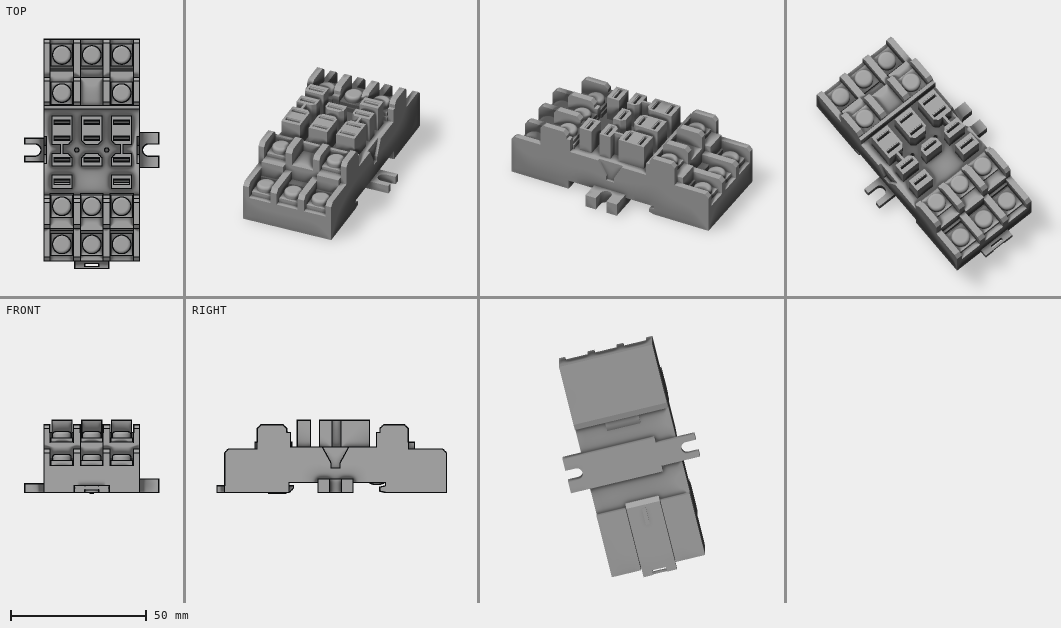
import cadquery as cq


BODY_WIDTH = 35.35
BODY_LENGTH = 81.8
OVERALL_LENGTH = 84.6
OVERALL_WIDTH = 49.5
HALF_WIDTH = BODY_WIDTH / 2
REAR = BODY_LENGTH / 2
FRONT = -BODY_LENGTH / 2

DECK_Z = 16.8
BLOCK_TOP_Z = 26.65
LOW_WALL_Z = 16.1
HIGH_WALL_Z = 25.0
WALL_CHAMFER = 1.4
LOW_FLOOR_Z = 9.9
HIGH_FLOOR_Z = 18.6
STRIP_Z = 12.4
SHELF_Z = 22.2
RAIL_ROOF_Z = 3.6

POLE_PITCH = 11.0
POLES = (-POLE_PITCH, 0, POLE_PITCH)
SIDE_POLES = (-POLE_PITCH, POLE_PITCH)
CENTRE_CHANNEL_HALF = 4.2
INNER_WALL_OUTSIDE = 6.8
OUTER_WALL_INSIDE = 15.4

REAR_HIGH_WALL = 26.8
REAR_WALL_END = 16.3
REAR_DECK_EDGE = 15.05
REAR_FLOOR_EDGE = 29.1
REAR_STRIP_EDGE = 29.85
FRONT_DECK_EDGE = -16.1
FRONT_SHELF_EDGE = -16.6
FRONT_WALL_END = -17.9
FRONT_HIGH_WALL = -28.8
FRONT_STRIP_EDGE = -29.7

RAIL_REAR = 18.35
RAIL_FRONT = -17.1
HOOK_TIP = 16.2
HOOK_HIGH_Z = 2.0
HOOK_LOW_Z = 0.5
HOOK_ROOT_Z = 2.5

PAD_WIDTH = 7.95
PAD_LENGTH = 8.2
LOW_PAD_Z = 11.75
HIGH_PAD_Z = 20.1
SCREW_DIAMETER = 6.85
SCREW_HEIGHT = 2.3
SCREW_ROUNDING = 1.1
REAR_LOW_ROW = 35.0
REAR_HIGH_ROW = 21.0
FRONT_HIGH_ROW = -20.7
FRONT_LOW_ROW = -34.8

BLOCK_WIDTH = 7.45
BLOCK_CORNER = 1.4
REAR_BLOCK = (2.0, 12.5)
MIDDLE_BLOCK = (-5.9, -1.35)
FRONT_BLOCK = (-14.1, -9.1)
NECK_WIDTH = 0.9
NECK_X = 11.1
SLOT_LENGTH = 5.8
SLOT_MOUTH = 1.7
SLOT_MOUTH_DEPTH = 0.25
SLOT_THROAT = 1.0
SLOT_DEPTH = 6.8
REAR_SLOTS = (10.2, 4.3)
MIDDLE_SLOT = -3.55
FRONT_SLOT = -11.5
FRONT_SLOT_MOUTH = 1.95
FRONT_SLOT_OFFSET = 0.13

DECK_HOLE_DIAMETER = 1.6
DECK_HOLE_DEPTH = 4.2
FUNNEL_DEPTH = 1.1
FUNNEL_TOP_HALF = 4.9
FUNNEL_STEM_HALF = 1.6
FUNNEL_NECK_Z = 10.8
FUNNEL_BOTTOM_Z = 9.0

EAR_TIP = OVERALL_WIDTH / 2
WIDE_EAR_WIDTH = 13.0
WIDE_EAR_HEIGHT = 5.1
WIDE_EAR_INNER_END = -10.15
NARROW_EAR_WIDTH = 8.7
NARROW_EAR_HEIGHT = 3.3
EAR_SLOT_WIDTH = 4.4
EAR_SLOT_DEPTH = 6.0

SLIDER_WIDTH = 12.7
SLIDER_HEIGHT = 2.5
SLIDER_FRONT = REAR - OVERALL_LENGTH
SLIDER_LATCH_TIP = -15.5
SLIDER_LATCH_Z = 1.6
POCKET_WIDTH = 13.2
PULL_SLOT_LENGTH = 5.0
PULL_SLOT_WIDTH = 1.0
PULL_SLOT_Y = -42.4
PULL_NOTCH_WIDTH = 5.3
PULL_NOTCH_HEIGHT = 1.0
FOOT_WIDTH = 1.4
FOOT_HEIGHT = 0.3
FOOT_SPAN = (-24.6, -18.3)
SPRING_SPAN = (12.35, 18.0)
SPRING_DROP = 0.8


def box(x_span, y_span, z_span):
    """Box given by its limits along each axis."""
    lengths = [span[1] - span[0] for span in (x_span, y_span, z_span)]
    return cq.Workplane("XY").box(*lengths, centered=False).translate((x_span[0], y_span[0], z_span[0]))


def centred(middle, length):
    """Limits of a length centred on a position."""
    return (middle - length / 2, middle + length / 2)


def slab(outline, x_span):
    """Extrude a Y-Z outline between two X positions."""
    start, end = x_span
    return cq.Workplane("YZ").workplane(offset=start).polyline(outline).close().extrude(end - start)


def underside():
    """Bottom outline from front to rear, with the rail recess and its fixed hook."""
    return [
        (FRONT, 0), (RAIL_FRONT, 0), (RAIL_FRONT, RAIL_ROOF_Z), (RAIL_REAR, RAIL_ROOF_Z),
        (RAIL_REAR, HOOK_ROOT_Z), (HOOK_TIP, HOOK_HIGH_Z), (HOOK_TIP, HOOK_LOW_Z), (RAIL_REAR, 0), (REAR, 0),
    ]


def wall_outline():
    """Partition wall with a raised, chamfered rib beside each inner screw row."""
    low_chamfer_z = LOW_WALL_Z - WALL_CHAMFER
    high_chamfer_z = HIGH_WALL_Z - WALL_CHAMFER
    return underside() + [
        (REAR, low_chamfer_z), (REAR - WALL_CHAMFER, LOW_WALL_Z), (REAR_HIGH_WALL, LOW_WALL_Z),
        (REAR_HIGH_WALL, high_chamfer_z), (REAR_HIGH_WALL - WALL_CHAMFER, HIGH_WALL_Z),
        (REAR_WALL_END + WALL_CHAMFER, HIGH_WALL_Z), (REAR_WALL_END, high_chamfer_z),
        (REAR_WALL_END, SHELF_Z), (REAR_DECK_EDGE, SHELF_Z), (REAR_DECK_EDGE, DECK_Z),
        (FRONT_SHELF_EDGE, DECK_Z), (FRONT_SHELF_EDGE, SHELF_Z), (FRONT_WALL_END, SHELF_Z),
        (FRONT_WALL_END, high_chamfer_z), (FRONT_WALL_END - WALL_CHAMFER, HIGH_WALL_Z),
        (FRONT_HIGH_WALL + WALL_CHAMFER, HIGH_WALL_Z), (FRONT_HIGH_WALL, high_chamfer_z),
        (FRONT_HIGH_WALL, LOW_WALL_Z), (FRONT + WALL_CHAMFER, LOW_WALL_Z), (FRONT, low_chamfer_z),
    ]


def side_channel_outline():
    """Stepped floor of an outer pole, with a low strip at the foot of each step."""
    return underside() + [
        (REAR, LOW_FLOOR_Z), (REAR_STRIP_EDGE, LOW_FLOOR_Z), (REAR_STRIP_EDGE, STRIP_Z),
        (REAR_FLOOR_EDGE, STRIP_Z), (REAR_FLOOR_EDGE, HIGH_FLOOR_Z), (REAR_WALL_END, HIGH_FLOOR_Z),
        (REAR_WALL_END, SHELF_Z), (REAR_DECK_EDGE, SHELF_Z), (REAR_DECK_EDGE, DECK_Z),
        (FRONT_DECK_EDGE, DECK_Z), (FRONT_DECK_EDGE, HIGH_FLOOR_Z), (FRONT_HIGH_WALL, HIGH_FLOOR_Z),
        (FRONT_HIGH_WALL, STRIP_Z), (FRONT_STRIP_EDGE, STRIP_Z), (FRONT_STRIP_EDGE, LOW_FLOOR_Z),
        (FRONT, LOW_FLOOR_Z),
    ]


def centre_channel_outline():
    """Floor of the centre pole, whose rear step is a plain platform without a screw."""
    return underside() + [
        (REAR, LOW_FLOOR_Z), (REAR_STRIP_EDGE, LOW_FLOOR_Z), (REAR_STRIP_EDGE, STRIP_Z),
        (REAR_HIGH_WALL, STRIP_Z), (REAR_HIGH_WALL, HIGH_FLOOR_Z), (REAR_WALL_END, HIGH_FLOOR_Z),
        (REAR_WALL_END, SHELF_Z), (REAR_DECK_EDGE, SHELF_Z), (REAR_DECK_EDGE, DECK_Z),
        (FRONT_DECK_EDGE, DECK_Z), (FRONT_DECK_EDGE, HIGH_FLOOR_Z), (FRONT_STRIP_EDGE, HIGH_FLOOR_Z),
        (FRONT_STRIP_EDGE, LOW_FLOOR_Z), (FRONT, LOW_FLOOR_Z),
    ]


def make_body():
    body = slab(centre_channel_outline(), (-CENTRE_CHANNEL_HALF, CENTRE_CHANNEL_HALF))
    one_side = [
        (wall_outline(), CENTRE_CHANNEL_HALF, INNER_WALL_OUTSIDE),
        (side_channel_outline(), INNER_WALL_OUTSIDE, OUTER_WALL_INSIDE),
        (wall_outline(), OUTER_WALL_INSIDE, HALF_WIDTH),
    ]
    for outline, inside, outside in one_side:
        body = body.union(slab(outline, (inside, outside)))
        body = body.union(slab(outline, (-outside, -inside)))
    return body


def terminal(x, y, floor_z, pad_z):
    """Square clamp pad carrying a round-edged screw head."""
    pad = box(centred(x, PAD_WIDTH), centred(y, PAD_LENGTH), (floor_z, pad_z))
    screw = cq.Workplane("XY").circle(SCREW_DIAMETER / 2).extrude(SCREW_HEIGHT)
    screw = screw.faces(">Z").edges().fillet(SCREW_ROUNDING)
    return pad.union(screw.translate((x, y, pad_z)))


def add_terminals(body):
    rows = [
        (REAR_LOW_ROW, POLES, LOW_FLOOR_Z, LOW_PAD_Z),
        (REAR_HIGH_ROW, SIDE_POLES, HIGH_FLOOR_Z, HIGH_PAD_Z),
        (FRONT_HIGH_ROW, POLES, HIGH_FLOOR_Z, HIGH_PAD_Z),
        (FRONT_LOW_ROW, POLES, LOW_FLOOR_Z, LOW_PAD_Z),
    ]
    for y, poles, floor_z, pad_z in rows:
        for x in poles:
            body = body.union(terminal(x, y, floor_z, pad_z))
    return body


def contact_block(x, y_span, bevelled_end=None):
    """Contact block; the corners of the bevelled end that face another pole are cut off."""
    block = box(centred(x, BLOCK_WIDTH), y_span, (DECK_Z, BLOCK_TOP_Z))
    if bevelled_end is None:
        return block
    corners = block.faces(bevelled_end).edges("|Z")
    if x < 0:
        corners = corners.edges(">X")
    elif x > 0:
        corners = corners.edges("<X")
    return corners.chamfer(BLOCK_CORNER)


def add_contact_blocks(body):
    for x in POLES:
        body = body.union(contact_block(x, REAR_BLOCK, "<Y"))
        body = body.union(contact_block(x, MIDDLE_BLOCK, ">Y"))
    neck_y = (MIDDLE_BLOCK[1], REAR_BLOCK[0])
    for x in SIDE_POLES:
        body = body.union(contact_block(x, FRONT_BLOCK))
        neck_x = NECK_X if x > 0 else -NECK_X
        body = body.union(box(centred(neck_x, NECK_WIDTH), neck_y, (DECK_Z, BLOCK_TOP_Z)))
    return body


def blade_slot(x, y, mouth=SLOT_MOUTH, mouth_offset=0):
    """Blade slot with a wider, shallow mouth."""
    x_span = centred(x, SLOT_LENGTH)
    throat = box(x_span, centred(y, SLOT_THROAT), (BLOCK_TOP_Z - SLOT_DEPTH, BLOCK_TOP_Z))
    mouth_y = centred(y - mouth_offset, mouth)
    return throat.union(box(x_span, mouth_y, (BLOCK_TOP_Z - SLOT_MOUTH_DEPTH, BLOCK_TOP_Z)))


def cut_blade_slots(body):
    for x in POLES:
        for y in REAR_SLOTS + (MIDDLE_SLOT,):
            body = body.cut(blade_slot(x, y))
    for x in SIDE_POLES:
        body = body.cut(blade_slot(x, FRONT_SLOT, FRONT_SLOT_MOUTH, FRONT_SLOT_OFFSET))
    return body


def cut_deck_holes(body):
    """Two blind holes in the deck, midway between the poles."""
    holes = cq.Workplane("XY").workplane(offset=DECK_Z - DECK_HOLE_DEPTH)
    holes = holes.pushPoints([(-POLE_PITCH / 2, 0), (POLE_PITCH / 2, 0)])
    return body.cut(holes.circle(DECK_HOLE_DIAMETER / 2).extrude(DECK_HOLE_DEPTH))


def cut_side_funnels(body):
    """Funnel-shaped recess in each long side, open at the deck."""
    outline = [
        (FUNNEL_TOP_HALF, DECK_Z), (FUNNEL_STEM_HALF, FUNNEL_NECK_Z), (FUNNEL_STEM_HALF, FUNNEL_BOTTOM_Z),
        (-FUNNEL_STEM_HALF, FUNNEL_BOTTOM_Z), (-FUNNEL_STEM_HALF, FUNNEL_NECK_Z), (-FUNNEL_TOP_HALF, DECK_Z),
    ]
    floor_x = HALF_WIDTH - FUNNEL_DEPTH
    body = body.cut(slab(outline, (floor_x, HALF_WIDTH)))
    return body.cut(slab(outline, (-HALF_WIDTH, -floor_x)))


def add_ears(body):
    """Wide foot plate across the rail recess with a thinner tongue on the -X side."""
    wide = box((WIDE_EAR_INNER_END, EAR_TIP), centred(0, WIDE_EAR_WIDTH), (0, WIDE_EAR_HEIGHT))
    narrow = box((-EAR_TIP, WIDE_EAR_INNER_END), centred(0, NARROW_EAR_WIDTH), (0, NARROW_EAR_HEIGHT))
    body = body.union(wide).union(narrow)
    slot_middle = EAR_TIP - EAR_SLOT_DEPTH / 2 + EAR_SLOT_WIDTH / 4
    slot_length = EAR_SLOT_DEPTH + EAR_SLOT_WIDTH / 2
    slots = cq.Workplane("XY").pushPoints([(-slot_middle, 0), (slot_middle, 0)])
    return body.cut(slots.slot2D(slot_length, EAR_SLOT_WIDTH).extrude(WIDE_EAR_HEIGHT))


def make_slider():
    """Release slider with a latch, a pull slot and a foot."""
    outline = [
        (SLIDER_FRONT, 0), (RAIL_FRONT, 0), (SLIDER_LATCH_TIP, SLIDER_LATCH_Z),
        (SLIDER_LATCH_TIP, SLIDER_HEIGHT), (SLIDER_FRONT, SLIDER_HEIGHT),
    ]
    slider = slab(outline, centred(0, SLIDER_WIDTH))
    slot = box(centred(0, PULL_SLOT_LENGTH), centred(PULL_SLOT_Y, PULL_SLOT_WIDTH), (0, SLIDER_HEIGHT))
    notch = box(centred(0, PULL_NOTCH_WIDTH), (SLIDER_FRONT, PULL_SLOT_Y), (0, PULL_NOTCH_HEIGHT))
    foot = box(centred(0, FOOT_WIDTH), FOOT_SPAN, (-FOOT_HEIGHT, 0))
    return slider.cut(slot).cut(notch).union(foot)


def add_slider(body):
    pocket = box(centred(0, POCKET_WIDTH), (FRONT, RAIL_FRONT), (0, SLIDER_HEIGHT))
    return body.cut(pocket).union(make_slider())


def add_spring(body):
    """Shallow bowed spring under the roof of the rail recess."""
    start, end = SPRING_SPAN
    spring = (
        cq.Workplane("YZ").moveTo(start, RAIL_ROOF_Z)
        .threePointArc(((start + end) / 2, RAIL_ROOF_Z - SPRING_DROP), (end, RAIL_ROOF_Z))
        .close().extrude(SLIDER_WIDTH / 2, both=True)
    )
    return body.union(spring)


result = make_body()
result = add_terminals(result)
result = add_contact_blocks(result)
result = cut_blade_slots(result)
result = cut_deck_holes(result)
result = cut_side_funnels(result)
result = add_ears(result)
result = add_slider(result)
result = add_spring(result)